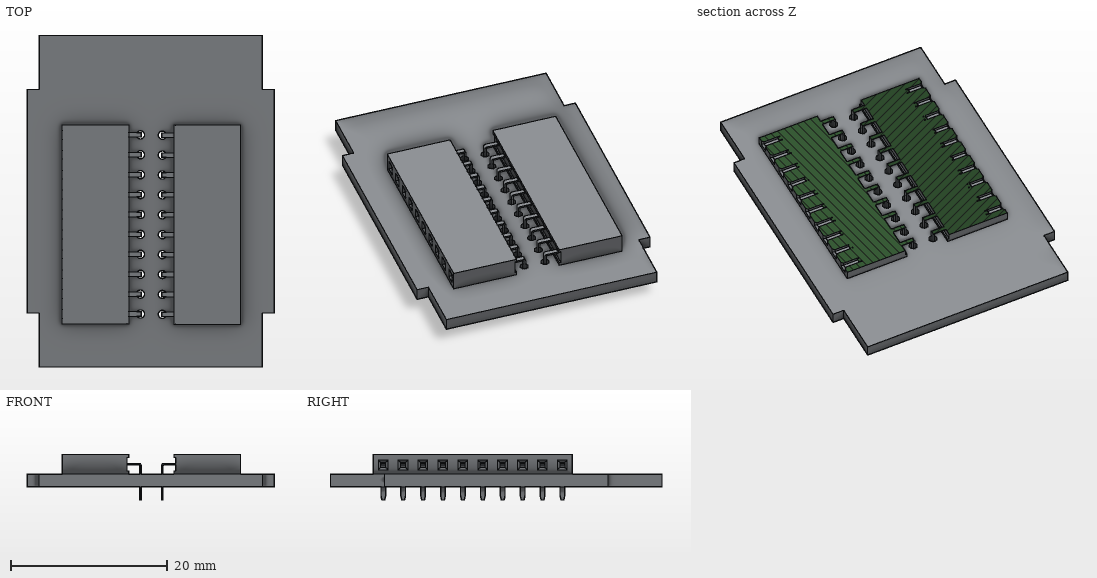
import cadquery as cq
board_width = 31.6
board_length = 42.45
board_thickness = 1.6
corner_cut_x = 1.53
corner_cut_y = 6.9

pin_count = 10
pin_pitch = 2.55
hole_diameter = 1.0
row_x = 1.4
rows_center_x = 0.1
left_center_y = -2.95
right_center_y = -3.0
pin_offsets = [(i - (pin_count - 1) / 2) * pin_pitch for i in range(pin_count)]

housing_depth = 8.53
housing_height = 2.55
housing_length = pin_count * pin_pitch
housing_back_x = 2.9
housing_front_x = housing_back_x + housing_depth
lip_height = 0.42
lip_depth = 0.2

mouth_size = 1.25
throat_size = 0.65
mouth_taper_depth = 0.25
throat_depth = 2.55
mouth_z = 1.2

pin_width = 0.6
pin_thickness = 0.2
pin_bend_radius = 0.1
pin_top_z = 1.4
pin_stub_length = 0.42
pin_drop = 1.7
tip_z = -board_thickness - pin_drop
tip_width = 0.35
tip_length = 0.55


def make_board():
    """Cross-shaped plate with a clearance hole for every pin."""
    board = cq.Workplane("XY").box(
        board_width, board_length, board_thickness, centered=(True, True, False)
    ).translate((0, 0, -board_thickness))
    corners = (
        cq.Workplane("XY")
        .rect(board_width - corner_cut_x, board_length - corner_cut_y, forConstruction=True)
        .vertices()
        .rect(corner_cut_x, corner_cut_y)
        .extrude(-board_thickness)
    )
    left_holes = [(rows_center_x - row_x, left_center_y + y) for y in pin_offsets]
    right_holes = [(rows_center_x + row_x, right_center_y + y) for y in pin_offsets]
    holes = (
        cq.Workplane("XY")
        .pushPoints(left_holes + right_holes)
        .circle(hole_diameter / 2)
        .extrude(-board_thickness)
    )
    return board.cut(corners).cut(holes)


def make_mouth(y):
    """Tapered mouth and throat, as a solid to cut from the housing."""
    front = cq.Workplane("YZ", origin=(housing_front_x, y, mouth_z))
    taper = (
        front.rect(mouth_size, mouth_size)
        .workplane(offset=-mouth_taper_depth)
        .rect(throat_size, throat_size)
        .loft()
    )
    throat = front.rect(throat_size, throat_size).extrude(-throat_depth)
    return taper.union(throat)


def make_housing():
    """Block with a recess between two lips along its back and a row of mouths in its front."""
    housing = cq.Workplane("XY").box(
        housing_depth, housing_length, housing_height, centered=(False, True, False)
    ).translate((housing_back_x, 0, 0))
    recess = cq.Workplane("XY").box(
        lip_depth, housing_length, housing_height - 2 * lip_height, centered=(False, True, False)
    ).translate((housing_back_x, 0, lip_height))
    housing = housing.cut(recess)
    for y in pin_offsets:
        housing = housing.cut(make_mouth(y))
    return housing


def make_pin(y):
    """Bent flat strip with a rounded bend and a tapered lower tip."""
    outer_x = row_x - pin_thickness / 2
    inner_x = outer_x + pin_thickness
    tail_x = housing_front_x - throat_depth + pin_stub_length
    arm_bottom_z = pin_top_z - pin_thickness
    tip_start_z = tip_z + tip_length
    bend_outer_radius = pin_bend_radius + pin_thickness
    bent_strip = (
        cq.Workplane("XZ", origin=(0, y + pin_width / 2, 0))
        .moveTo(outer_x, tip_start_z)
        .lineTo(outer_x, pin_top_z - bend_outer_radius)
        .radiusArc((outer_x + bend_outer_radius, pin_top_z), bend_outer_radius)
        .lineTo(tail_x, pin_top_z)
        .lineTo(tail_x, arm_bottom_z)
        .lineTo(inner_x + pin_bend_radius, arm_bottom_z)
        .radiusArc((inner_x, arm_bottom_z - pin_bend_radius), -pin_bend_radius)
        .lineTo(inner_x, tip_start_z)
        .close()
        .extrude(pin_width)
    )
    tapered_tip = (
        cq.Workplane("YZ", origin=(outer_x, y, 0))
        .moveTo(-pin_width / 2, tip_start_z)
        .lineTo(-tip_width / 2, tip_z)
        .lineTo(tip_width / 2, tip_z)
        .lineTo(pin_width / 2, tip_start_z)
        .close()
        .extrude(pin_thickness)
    )
    return bent_strip.union(tapered_tip)


def make_connector():
    """Housing and its pins as one solid, facing +X."""
    connector = make_housing()
    for y in pin_offsets:
        connector = connector.union(make_pin(y))
    return connector


board = make_board()
connector = make_connector()
right_connector = connector.translate((rows_center_x, right_center_y, 0))
left_connector = connector.rotate((0, 0, 0), (0, 0, 1), 180).translate((rows_center_x, left_center_y, 0))

result = cq.Compound.makeCompound([board.val(), right_connector.val(), left_connector.val()])